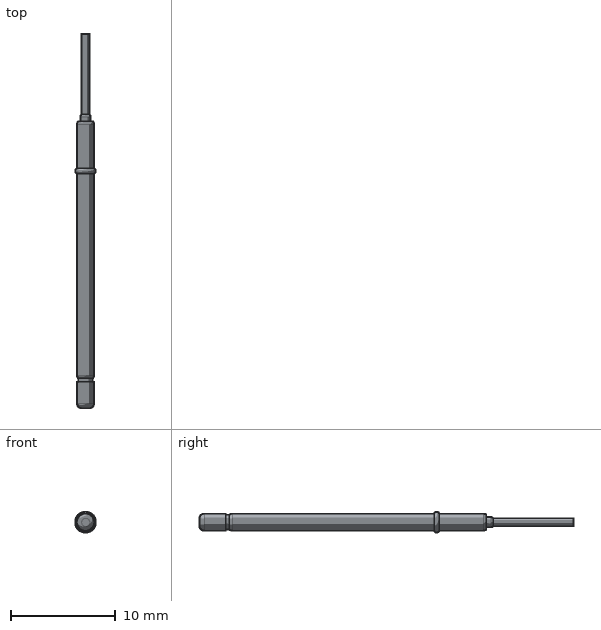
import cadquery as cq
import math

length = 35.7
barrel_radius = 0.82
pin_radius = 0.4

barrel_round = 0.45
end_face_radius = 0.4

groove_front = 2.55
groove_rear = 2.85
groove_radius = 0.7

ring_center = 22.65
ring_half_width = 0.25
ring_radius = 1.0

barrel_end = 27.38
barrel_end_radius = 0.7

collar_radius = 0.5
collar_end = 28.02
collar_round = 0.32


def shoulder_run(drop, rounding, share=1.0):
    """Return the (inward, axial) travel over a share of a shoulder arc.

    The arc leaves its cylinder tangentially and comes inward by drop in total.
    """
    angle = share * math.acos(1 - drop / rounding)
    return rounding * (1 - math.cos(angle)), rounding * math.sin(angle)


def add_rear_shoulder(profile, outer_radius, inner_radius, end_y, rounding):
    """Follow a cylinder towards +Y and round it in to inner_radius at end_y."""
    drop = outer_radius - inner_radius
    start_y = end_y - shoulder_run(drop, rounding)[1]
    mid_inward, mid_axial = shoulder_run(drop, rounding, 0.5)
    return profile.lineTo(outer_radius, start_y).threePointArc(
        (outer_radius - mid_inward, start_y + mid_axial),
        (inner_radius, end_y),
    )


def add_front_shoulder(profile, inner_radius, outer_radius, start_y, rounding):
    """Round out from inner_radius at start_y to a cylinder running towards +Y."""
    drop = outer_radius - inner_radius
    end_y = start_y + shoulder_run(drop, rounding)[1]
    mid_inward, mid_axial = shoulder_run(drop, rounding, 0.5)
    return profile.lineTo(inner_radius, start_y).threePointArc(
        (outer_radius - mid_inward, end_y - mid_axial),
        (outer_radius, end_y),
    )


def add_groove(profile):
    """Step into the groove and round back out to the barrel."""
    profile = profile.lineTo(barrel_radius, groove_front).lineTo(groove_radius, groove_front)
    return add_front_shoulder(profile, groove_radius, barrel_radius, groove_rear, barrel_round)


def add_ring(profile):
    """Bulge out in one arc over the press ring."""
    return profile.lineTo(barrel_radius, ring_center - ring_half_width).threePointArc(
        (ring_radius, ring_center),
        (barrel_radius, ring_center + ring_half_width),
    )


def half_profile():
    """Closed half section, drawn as (radius, Y) from the axis outwards."""
    profile = cq.Workplane("XY")
    profile = add_front_shoulder(profile, end_face_radius, barrel_radius, 0, barrel_round)
    profile = add_groove(profile)
    profile = add_ring(profile)
    profile = add_rear_shoulder(profile, barrel_radius, barrel_end_radius, barrel_end, barrel_round)
    profile = profile.lineTo(collar_radius, barrel_end)
    profile = add_rear_shoulder(profile, collar_radius, pin_radius, collar_end, collar_round)
    return profile.lineTo(pin_radius, length).lineTo(0, length).close()


result = half_profile().revolve(360, (0, 0, 0), (0, 1, 0))